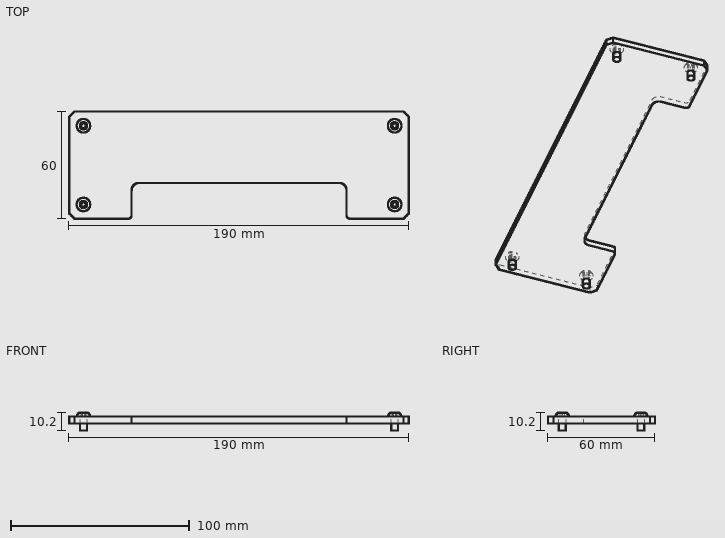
import cadquery as cq
import math

PLATE_LENGTH = 190.0
PLATE_WIDTH = 60.0
PLATE_THICKNESS = 4.0
CORNER_CHAMFER = 3.0

NOTCH_LENGTH = 120.0
NOTCH_DEPTH = 20.0
NOTCH_INNER_RADIUS = 4.0
NOTCH_MOUTH_RADIUS = 2.0

SCREW_INSET = 8.0
SHANK_DIAMETER = 4.0
SHANK_LENGTH = 8.0
HEAD_DIAMETER = 7.6
HEAD_HEIGHT = 2.2
HEAD_TOP_DIAMETER = 4.0
HEAD_DOME_BULGE = 0.4
SOCKET_ACROSS_FLATS = 2.5
SOCKET_DEPTH = 2.0
SOCKET_TURN = -7.0

screw_x = PLATE_LENGTH / 2 - SCREW_INSET
screw_y = PLATE_WIDTH / 2 - SCREW_INSET
screw_centres = [(x, y) for x in (-screw_x, screw_x) for y in (-screw_y, screw_y)]


def make_plate():
    """Plate with chamfered corners, a rounded notch and four screw holes."""
    front_y = -PLATE_WIDTH / 2
    notch_floor_y = front_y + NOTCH_DEPTH
    blank = (
        cq.Workplane("XY")
        .rect(PLATE_LENGTH, PLATE_WIDTH)
        .extrude(PLATE_THICKNESS)
        .edges("|Z")
        .chamfer(CORNER_CHAMFER)
    )
    notch = (
        cq.Workplane("XY")
        .center(0, front_y)
        .rect(NOTCH_LENGTH, 2 * NOTCH_DEPTH)
        .extrude(PLATE_THICKNESS)
    )
    plate = blank.cut(notch)
    for corner_y, radius in ((notch_floor_y, NOTCH_INNER_RADIUS), (front_y, NOTCH_MOUTH_RADIUS)):
        for corner_x in (-NOTCH_LENGTH / 2, NOTCH_LENGTH / 2):
            corner = (corner_x, corner_y, PLATE_THICKNESS / 2)
            plate = plate.edges(cq.selectors.NearestToPointSelector(corner)).fillet(radius)
    return (
        plate.faces(">Z")
        .workplane(origin=(0, 0, PLATE_THICKNESS))
        .pushPoints(screw_centres)
        .hole(SHANK_DIAMETER)
    )


def make_screw(x, y):
    """Domed button-head screw with a hexagon socket, seated on the plate at (x, y)."""
    shank_radius = SHANK_DIAMETER / 2
    head_radius = HEAD_DIAMETER / 2
    top_radius = HEAD_TOP_DIAMETER / 2
    chord_run = head_radius - top_radius
    chord_length = math.hypot(chord_run, HEAD_HEIGHT)
    dome_middle = (
        (head_radius + top_radius) / 2 + HEAD_DOME_BULGE * HEAD_HEIGHT / chord_length,
        HEAD_HEIGHT / 2 + HEAD_DOME_BULGE * chord_run / chord_length,
    )
    screw = (
        cq.Workplane("XZ")
        .moveTo(0, -SHANK_LENGTH)
        .lineTo(shank_radius, -SHANK_LENGTH)
        .lineTo(shank_radius, 0)
        .lineTo(head_radius, 0)
        .threePointArc(dome_middle, (top_radius, HEAD_HEIGHT))
        .lineTo(0, HEAD_HEIGHT)
        .close()
        .revolve(360, (0, 0, 0), (0, 1, 0))
    )
    socket_across_corners = SOCKET_ACROSS_FLATS / math.cos(math.radians(30))
    socket = (
        cq.Workplane("XY", origin=(0, 0, HEAD_HEIGHT - SOCKET_DEPTH))
        .polygon(6, socket_across_corners)
        .extrude(SOCKET_DEPTH)
        .rotate((0, 0, 0), (0, 0, 1), SOCKET_TURN)
    )
    return screw.cut(socket).translate((x, y, PLATE_THICKNESS))


plate = make_plate()
screws = [make_screw(x, y) for x, y in screw_centres]

result = cq.Compound.makeCompound([plate.val(), *[screw.val() for screw in screws]])